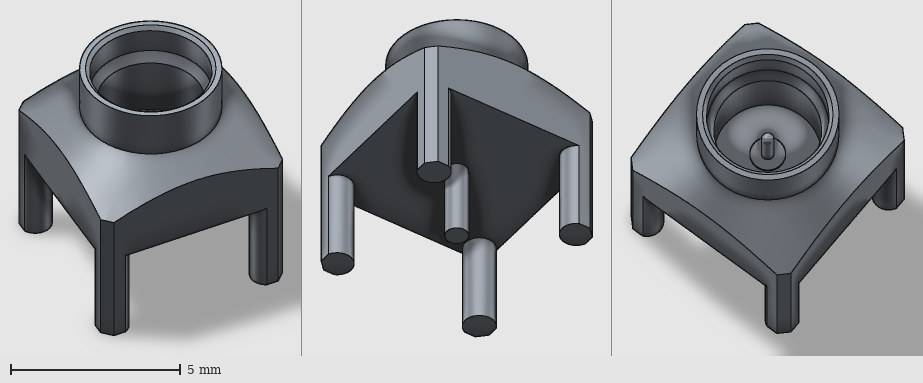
import cadquery as cq
import math

height = 7.1
width = 6.0
corner_chamfer = 0.29
body_bottom = 3.01

collar_diameter = 4.2
collar_bottom = 5.59
shoulder_angle = 30.0

mouth_diameter = 3.85
socket_diameter = 3.61
bore_diameter = 3.175
taper_start_depth = 0.9
taper_end_depth = 1.21
floor_depth = 3.05

contact_base_diameter = 1.06
contact_base_height = 0.07
contact_diameter = 0.38
contact_tip_depth = 1.705

leg_diameter = 1.01
leg_spacing = 5.085
tail_diameter = 0.71
tail_bottom = 0.52


def cylinder(diameter, bottom, top):
    return cq.Workplane("XY").workplane(offset=bottom).circle(diameter / 2).extrude(top - bottom)


def square_envelope():
    """Square block with chamfered corners that bounds the whole part."""
    block = cq.Workplane("XY").rect(width, width).extrude(height)
    return block.edges("|Z").chamfer(corner_chamfer)


def turned_body():
    """Collar and shoulder as one turned shape, wide enough to cover the corners."""
    collar_radius = collar_diameter / 2
    outer_radius = width / math.sqrt(2)
    drop = (outer_radius - collar_radius) * math.tan(math.radians(shoulder_angle))
    profile = [
        (0, body_bottom),
        (outer_radius, body_bottom),
        (outer_radius, collar_bottom - drop),
        (collar_radius, collar_bottom),
        (collar_radius, height),
        (0, height),
    ]
    return cq.Workplane("XZ").polyline(profile).close().revolve(360, (0, 0), (0, 1))


def socket():
    """Chamfered mouth, then a taper down to a narrower flat-bottomed bore."""
    mouth_depth = (mouth_diameter - socket_diameter) / 2
    profile = [
        (0, height),
        (mouth_diameter / 2, height),
        (socket_diameter / 2, height - mouth_depth),
        (socket_diameter / 2, height - taper_start_depth),
        (bore_diameter / 2, height - taper_end_depth),
        (bore_diameter / 2, height - floor_depth),
        (0, height - floor_depth),
    ]
    return cq.Workplane("XZ").polyline(profile).close().revolve(360, (0, 0), (0, 1))


def contact():
    """Round-tipped contact standing on a low round base."""
    floor = height - floor_depth
    base = cylinder(contact_base_diameter, floor, floor + contact_base_height)
    tip_centre = height - contact_tip_depth - contact_diameter / 2
    stem = cylinder(contact_diameter, floor, tip_centre)
    tip = cq.Workplane("XY").sphere(contact_diameter / 2).translate((0, 0, tip_centre))
    return base.union(stem).union(tip)


def legs():
    return (
        cq.Workplane("XY")
        .rect(leg_spacing, leg_spacing, forConstruction=True)
        .vertices()
        .circle(leg_diameter / 2)
        .extrude(body_bottom)
    )


outer = turned_body().union(legs()).intersect(square_envelope())
tail = cylinder(tail_diameter, tail_bottom, body_bottom)
result = outer.cut(socket()).union(contact()).union(tail)